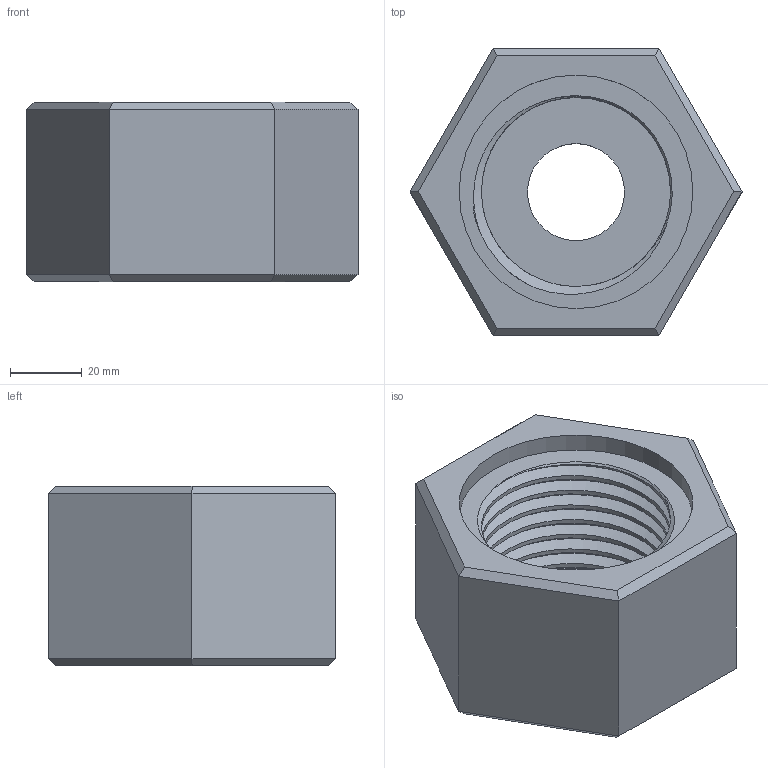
import cadquery as cq
import math

ACROSS_FLATS = 80.0
ACROSS_CORNERS = ACROSS_FLATS / math.cos(math.pi / 6)
HEIGHT = 50.0
EDGE_CHAMFER = 2.0

COUNTERBORE_DIAMETER = 65.0
COUNTERBORE_DEPTH = 5.0
FLOOR_THICKNESS = 5.0
THROUGH_DIAMETER = 27.0

THREAD_DIAMETER = 58.0
PITCH = 5.0
SHARP_HEIGHT = PITCH * math.sqrt(3) / 2
THREAD_DEPTH = SHARP_HEIGHT * 5 / 8
CREST_FLAT = PITCH / 4
ROOT_FLAT = PITCH / 8
FLANK_SLOPE = math.tan(math.radians(30))
ROOT_ANGLE = 225.0

ROOT_RADIUS = THREAD_DIAMETER / 2
CREST_RADIUS = ROOT_RADIUS - THREAD_DEPTH
SEAT_Z = HEIGHT - COUNTERBORE_DEPTH
THREAD_LENGTH = SEAT_Z - FLOOR_THICKNESS
MOUTH_CHAMFER = 0.5
INNER_OVERLAP = 0.3


def cylinder(diameter, bottom, height):
    return cq.Workplane("XY").workplane(offset=bottom).circle(diameter / 2).extrude(height)


def mouth_cone():
    """Countersink that breaks the thread edge at the counterbore seat.

    It continues at 45 degrees above the seat, inside the counterbore.
    """
    height = MOUTH_CHAMFER + COUNTERBORE_DEPTH
    base = cq.Workplane("XY").workplane(offset=SEAT_Z - MOUTH_CHAMFER)
    return base.circle(CREST_RADIUS).workplane(offset=height).circle(CREST_RADIUS + height).loft()


def hex_body():
    body = cq.Workplane("XY").polygon(6, ACROSS_CORNERS).extrude(HEIGHT)
    return body.faces("<Z or >Z").edges().chamfer(EDGE_CHAMFER)


def thread_groove():
    """Helical trapezoidal groove, trimmed to the threaded length of the bore."""
    turns = math.ceil(THREAD_LENGTH / PITCH) + 2
    start_z = SEAT_Z - (turns - 1) * PITCH
    helix = cq.Wire.makeHelix(PITCH, turns * PITCH, CREST_RADIUS)
    mouth_half = (PITCH - CREST_FLAT) / 2 + INNER_OVERLAP * FLANK_SLOPE
    root_half = ROOT_FLAT / 2
    inner_radius = CREST_RADIUS - INNER_OVERLAP
    profile = cq.Workplane("XZ").polyline(
        [
            (inner_radius, -mouth_half),
            (ROOT_RADIUS, -root_half),
            (ROOT_RADIUS, root_half),
            (inner_radius, mouth_half),
        ]
    ).close()
    groove = profile.sweep(cq.Workplane(helix), isFrenet=True)
    groove = groove.rotate((0, 0, 0), (0, 0, 1), ROOT_ANGLE).translate((0, 0, start_z))
    envelope = cylinder(THREAD_DIAMETER + PITCH, FLOOR_THICKNESS, THREAD_LENGTH)
    return groove.intersect(envelope)


result = (
    hex_body()
    .cut(thread_groove())
    .cut(cylinder(2 * CREST_RADIUS, FLOOR_THICKNESS, HEIGHT - FLOOR_THICKNESS))
    .cut(cylinder(COUNTERBORE_DIAMETER, SEAT_Z, COUNTERBORE_DEPTH))
    .cut(mouth_cone())
    .cut(cylinder(THROUGH_DIAMETER, 0, HEIGHT))
)